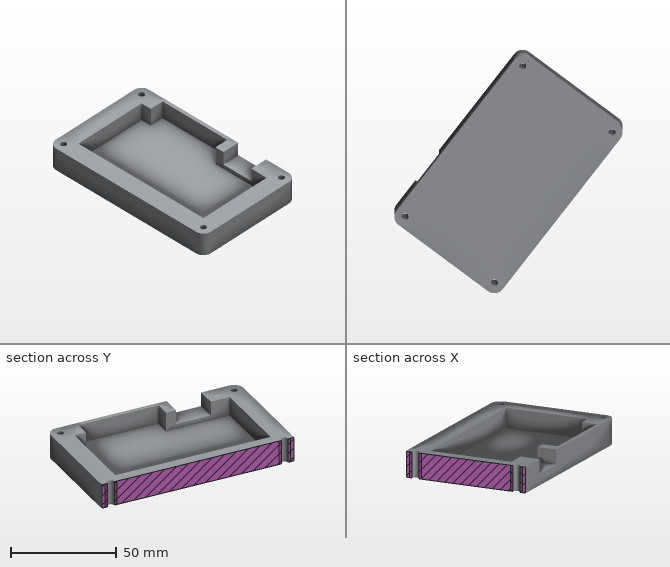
import cadquery as cq

length = 102.4
width = 63.4
height = 13.0
corner_radius = 5.0

opening_length = 82.7
opening_width = 43.2
floor_thickness = 3.0

bay_left_x = -35.2
bay_right_x = 7.5
bay_back_wall = 2.0

notch_left_x = 12.8
notch_right_x = 31.2
notch_depth = 7.5

insert_diameter = 6.0
insert_bore = 3.4

back_y = width / 2
insert_x = length / 2 - corner_radius
insert_y = back_y - corner_radius
insert_places = [(x, y) for x in (-insert_x, insert_x) for y in (-insert_y, insert_y)]


def opening_block(thickness):
    """Block with the outline of the main opening, standing on Z = 0."""
    return (
        cq.Workplane("XY")
        .rect(opening_length, opening_width)
        .extrude(thickness)
    )


def back_cutter(left_x, right_x, end_y, floor_z):
    """Block from the middle of the main opening back to end_y, above floor_z."""
    return (
        cq.Workplane("XY")
        .workplane(offset=floor_z)
        .moveTo(left_x, 0)
        .lineTo(right_x, 0)
        .lineTo(right_x, end_y)
        .lineTo(left_x, end_y)
        .close()
        .extrude(height - floor_z)
    )


def make_housing():
    """Rounded frame with the opening, side bay, notch and insert holes."""
    block = (
        cq.Workplane("XY")
        .rect(length, width)
        .extrude(height)
        .edges("|Z")
        .fillet(corner_radius)
    )
    bay = back_cutter(bay_left_x, bay_right_x, back_y - bay_back_wall, floor_thickness)
    notch = back_cutter(notch_left_x, notch_right_x, back_y, height - notch_depth)
    insert_holes = (
        cq.Workplane("XY")
        .pushPoints(insert_places)
        .circle(insert_diameter / 2)
        .extrude(height)
    )
    return block.cut(opening_block(height)).cut(bay).cut(notch).cut(insert_holes)


def make_insert(x, y):
    """Plain sleeve that fills one corner hole over the full height."""
    return (
        cq.Workplane("XY")
        .center(x, y)
        .circle(insert_diameter / 2)
        .circle(insert_bore / 2)
        .extrude(height)
    )


housing = make_housing()
floor_panel = opening_block(floor_thickness)
inserts = [make_insert(x, y).val() for x, y in insert_places]

result = cq.Compound.makeCompound([housing.val(), floor_panel.val(), *inserts])